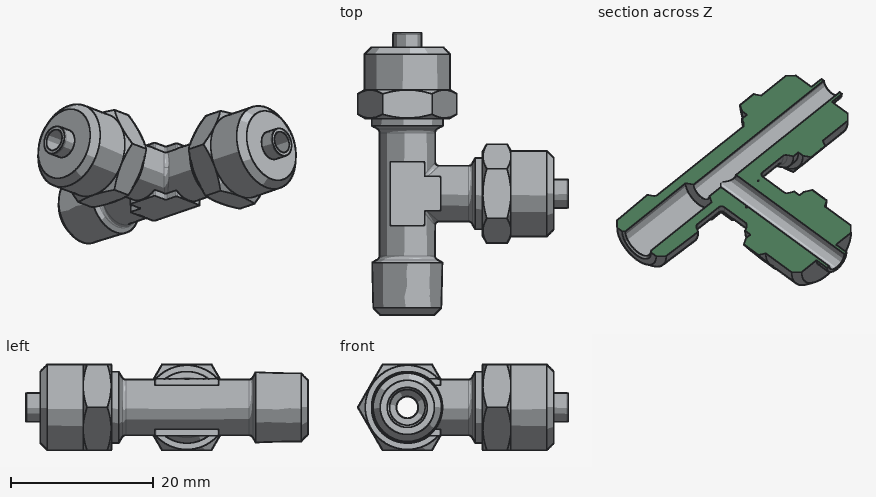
import cadquery as cq
import math


pipe_radius = 3.9
crotch_radius = 0.5

shoulder_slope = math.radians(60)
shoulder_fillet = 0.6

collar_radius = 5.0
collar_start = 9.5
hex_start = 10.5
hex_end = 14.5
nut_end = 20.5
nut_chamfer = 1.0
hex_across_flats = 12.0
hex_bevel = math.radians(30)
hex_inner_bevel_radius = 5.9
nut_radius = hex_across_flats / 2
stem_radius = 2.0
stem_end = 22.5
stem_edge_length = 0.2
stem_edge_drop = 0.05

thread_start = 9.65
thread_end = 17.0
thread_chamfer = 1.0
thread_large_radius = 4.95
thread_small_radius = 4.78

bore_radius = 1.5
inlet_radius = 2.5
inlet_chamfer = 0.3
inlet_tip_slope = math.radians(59)

flat_half_width = 2.4
flat_half_length = 4.45
flat_reach = 4.65
flat_height = 4.0
flat_corner_radius = 0.15

inlet_shoulder = flat_half_length


def revolve_about_y(sketch):
    return sketch.close().revolve(360, (0, 0, 0), (0, 1, 0))


def pipe_with_shoulder(shoulder_start, shoulder_radius):
    """Pipe from the crossing out to a conical shoulder, with a fillet at the foot of the cone."""
    cone_foot = shoulder_start - (shoulder_radius - pipe_radius) / math.tan(shoulder_slope)
    half_turn = shoulder_slope / 2
    tangent = shoulder_fillet * math.tan(half_turn)
    centre = (pipe_radius + shoulder_fillet, cone_foot - tangent)
    arc_middle = (
        centre[0] - shoulder_fillet * math.cos(half_turn),
        centre[1] + shoulder_fillet * math.sin(half_turn),
    )
    arc_end = (
        pipe_radius + tangent * math.sin(shoulder_slope),
        cone_foot + tangent * math.cos(shoulder_slope),
    )
    return revolve_about_y(
        cq.Workplane("XY")
        .lineTo(pipe_radius, 0)
        .lineTo(pipe_radius, centre[1])
        .threePointArc(arc_middle, arc_end)
        .lineTo(shoulder_radius, shoulder_start)
        .lineTo(0, shoulder_start)
    )


def hexagon():
    """Hexagon of the nut with its corners bevelled at both ends, flats facing +Z and -Z."""
    corner_radius = nut_radius / math.cos(math.pi / 6)
    prism = (
        cq.Workplane("XZ", origin=(0, hex_start, 0))
        .polygon(6, 2 * corner_radius)
        .extrude(hex_start - hex_end)
    )
    inner_bevel = (corner_radius - hex_inner_bevel_radius) * math.tan(hex_bevel)
    outer_bevel = (corner_radius - nut_radius) * math.tan(hex_bevel)
    bevel_limits = revolve_about_y(
        cq.Workplane("XY")
        .moveTo(0, hex_start)
        .lineTo(hex_inner_bevel_radius, hex_start)
        .lineTo(corner_radius, hex_start + inner_bevel)
        .lineTo(corner_radius, hex_end - outer_bevel)
        .lineTo(nut_radius, hex_end)
        .lineTo(0, hex_end)
    )
    return prism.intersect(bevel_limits)


def hose_connection():
    """Collar, round nut barrel and stem along +Y, joined with the nut's hexagon."""
    turned = revolve_about_y(
        cq.Workplane("XY")
        .moveTo(0, collar_start)
        .lineTo(collar_radius, collar_start)
        .lineTo(collar_radius, hex_end)
        .lineTo(nut_radius, hex_end)
        .lineTo(nut_radius, nut_end - nut_chamfer)
        .lineTo(nut_radius - nut_chamfer, nut_end)
        .lineTo(stem_radius, nut_end)
        .lineTo(stem_radius, stem_end - stem_edge_length)
        .lineTo(stem_radius - stem_edge_drop, stem_end)
        .lineTo(0, stem_end)
    )
    return turned.union(hexagon())


def threaded_end():
    """Tapered end with a chamfered tip, along +Y."""
    return revolve_about_y(
        cq.Workplane("XY")
        .moveTo(0, thread_start)
        .lineTo(thread_large_radius, thread_start)
        .lineTo(thread_small_radius, thread_end - thread_chamfer)
        .lineTo(thread_small_radius - thread_chamfer, thread_end)
        .lineTo(0, thread_end)
    )


def to_branch(shape):
    return shape.rotate((0, 0, 0), (0, 0, 1), -90)


def to_thread_side(shape):
    return shape.rotate((0, 0, 0), (0, 0, 1), 180)


def flats():
    """T-shaped block through the crossing; only its top and bottom stand proud of the pipes."""
    run = cq.Workplane("XY").box(2 * flat_half_width, 2 * flat_half_length, 2 * flat_height)
    leg = cq.Workplane("XY").box(
        flat_reach, 2 * flat_half_width, 2 * flat_height, centered=(False, True, True)
    )
    return run.union(leg).edges("|Z").fillet(flat_corner_radius)


def narrow_bore(start):
    """Narrow bore along Y from the given position out through the tip of the stem."""
    return cq.Workplane("XZ", origin=(0, start, 0)).circle(bore_radius).extrude(start - stem_end)


def inlet_bore():
    """Wide bore from the threaded tip inward, ending in a cone down to the narrow bore."""
    cone_length = (inlet_radius - bore_radius) / math.tan(inlet_tip_slope)
    return revolve_about_y(
        cq.Workplane("XY")
        .moveTo(0, -thread_end)
        .lineTo(inlet_radius + inlet_chamfer, -thread_end)
        .lineTo(inlet_radius, inlet_chamfer - thread_end)
        .lineTo(inlet_radius, -inlet_shoulder)
        .lineTo(bore_radius, cone_length - inlet_shoulder)
        .lineTo(0, cone_length - inlet_shoulder)
    )


collar_pipe = pipe_with_shoulder(collar_start, collar_radius)
thread_pipe = pipe_with_shoulder(thread_start, thread_large_radius)
body = collar_pipe.union(to_thread_side(thread_pipe)).union(to_branch(collar_pipe)).union(flats())
body = body.edges("%ELLIPSE").fillet(crotch_radius)

connection = hose_connection()
body = body.union(connection).union(to_branch(connection)).union(to_thread_side(threaded_end()))

result = body.cut(narrow_bore(-inlet_shoulder)).cut(to_branch(narrow_bore(0))).cut(inlet_bore())